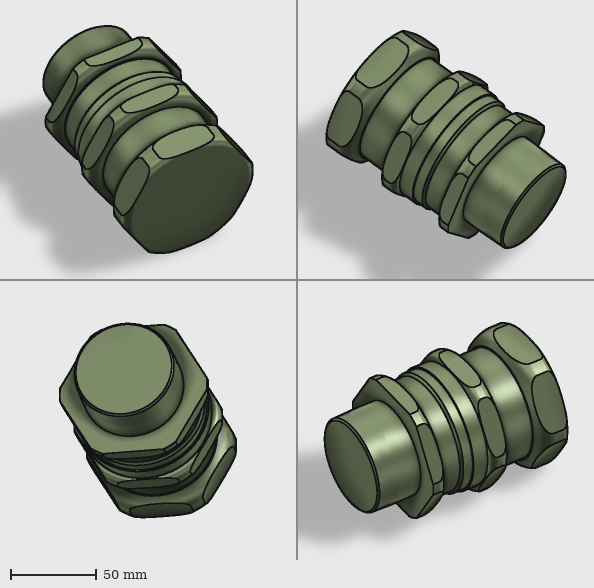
import cadquery as cq
import math

ACROSS_FLATS = 80.0
CORNER_DIAMETER = 88.1
CORNER_RADIUS = CORNER_DIAMETER / 2
EDGE_ROUND = 5.8

SPIGOT_DIAMETER = 60.4
SPIGOT_TIP_DIAMETER = 59.6
TIP_CHAMFER = 1.1
TAPER_END = 14.7

ENTRY_START = 29.5
ENTRY_HEX_END = 39.5
ENTRY_END = 40.3

SLEEVE_DIAMETER = 73.3
COLLAR_DIAMETER = 76.4
COLLAR_START = 54.2
COLLAR_CHAMFER = (COLLAR_DIAMETER - SLEEVE_DIAMETER) / 2
SLEEVE_END = 60.6

SKIRT_DIAMETER = 78.5
BODY_HEX_START = 70.4
BODY_HEX_END = 83.2
BODY_FRONT_ROUND = 4.1
BARREL_DIAMETER = 70.3
BARREL_END = 104.2

BACK_END = 125.3
BACK_CONE_ANGLE = 60
BACK_CONE_ROUND = 8.4
BACK_CONE_ROUND_END = 113.8
BACK_END_ROUND = 4.8


def cylinder(start, end, diameter):
    return cq.Workplane("YZ", origin=(start, 0, 0)).circle(diameter / 2).extrude(end - start)


def revolve_about_x(profile):
    """Revolve a closed profile of (axial, radial) points about the X axis."""
    return profile.close().revolve(360, (0, 0, 0), (1, 0, 0))


def hexagon(start, end):
    """Hexagonal prism with two flats facing up and down."""
    across_corners = ACROSS_FLATS / math.cos(math.pi / 6)
    return cq.Workplane("YZ", origin=(start, 0, 0)).polygon(6, across_corners).extrude(end - start)


def end_round(profile, end, radius):
    """Continue a profile along the corner cylinder and round it down to its end face."""
    middle = radius * math.sqrt(0.5)
    return (
        profile.lineTo(end - radius, CORNER_RADIUS)
        .threePointArc(
            (end - radius + middle, CORNER_RADIUS - radius + middle),
            (end, CORNER_RADIUS - radius),
        )
        .lineTo(end, 0)
    )


def make_spigot():
    tip_radius = SPIGOT_TIP_DIAMETER / 2
    profile = (
        cq.Workplane("XY")
        .lineTo(0, tip_radius - TIP_CHAMFER)
        .lineTo(TIP_CHAMFER, tip_radius)
        .lineTo(TAPER_END, SPIGOT_DIAMETER / 2)
        .lineTo(ENTRY_START, SPIGOT_DIAMETER / 2)
        .lineTo(ENTRY_START, 0)
    )
    return revolve_about_x(profile)


def make_entry_nut():
    profile = cq.Workplane("XY").moveTo(ENTRY_START, 0).lineTo(ENTRY_START, CORNER_RADIUS)
    envelope = revolve_about_x(end_round(profile, ENTRY_HEX_END, EDGE_ROUND))
    boss = cylinder(ENTRY_HEX_END, ENTRY_END, SLEEVE_DIAMETER)
    return hexagon(ENTRY_START, ENTRY_HEX_END).intersect(envelope).union(boss)


def make_sleeve():
    profile = (
        cq.Workplane("XY")
        .moveTo(ENTRY_END, 0)
        .lineTo(ENTRY_END, SLEEVE_DIAMETER / 2)
        .lineTo(COLLAR_START - COLLAR_CHAMFER, SLEEVE_DIAMETER / 2)
        .lineTo(COLLAR_START, COLLAR_DIAMETER / 2)
        .lineTo(SLEEVE_END, COLLAR_DIAMETER / 2)
        .lineTo(SLEEVE_END, 0)
    )
    return revolve_about_x(profile)


def make_main_body():
    radius = BODY_FRONT_ROUND
    middle = radius * math.sqrt(0.5)
    profile = (
        cq.Workplane("XY")
        .moveTo(BODY_HEX_START, 0)
        .lineTo(BODY_HEX_START, CORNER_RADIUS - radius)
        .threePointArc(
            (BODY_HEX_START + radius - middle, CORNER_RADIUS - radius + middle),
            (BODY_HEX_START + radius, CORNER_RADIUS),
        )
    )
    envelope = revolve_about_x(end_round(profile, BODY_HEX_END, EDGE_ROUND))
    skirt = cylinder(SLEEVE_END, BODY_HEX_START, SKIRT_DIAMETER)
    barrel = cylinder(BODY_HEX_END, BARREL_END, BARREL_DIAMETER)
    return hexagon(BODY_HEX_START, BODY_HEX_END).intersect(envelope).union(skirt).union(barrel)


def make_back_nut():
    angle = math.radians(BACK_CONE_ANGLE)
    round_center_radius = CORNER_RADIUS - BACK_CONE_ROUND
    cone_end_x = BACK_CONE_ROUND_END - BACK_CONE_ROUND * math.sin(angle)
    cone_end_radius = round_center_radius + BACK_CONE_ROUND * math.cos(angle)
    cone_start_radius = cone_end_radius - (cone_end_x - BARREL_END) * math.tan(angle)
    arc_middle = (
        BACK_CONE_ROUND_END - BACK_CONE_ROUND * math.sin(angle / 2),
        round_center_radius + BACK_CONE_ROUND * math.cos(angle / 2),
    )
    profile = (
        cq.Workplane("XY")
        .moveTo(BARREL_END, 0)
        .lineTo(BARREL_END, cone_start_radius)
        .lineTo(cone_end_x, cone_end_radius)
        .threePointArc(arc_middle, (BACK_CONE_ROUND_END, CORNER_RADIUS))
    )
    envelope = revolve_about_x(end_round(profile, BACK_END, BACK_END_ROUND))
    return hexagon(BARREL_END, BACK_END).intersect(envelope)


spigot = make_spigot()
entry_nut = make_entry_nut()
sleeve = make_sleeve()
main_body = make_main_body()
back_nut = make_back_nut()

result = cq.Compound.makeCompound(
    [spigot.val(), entry_nut.val(), sleeve.val(), main_body.val(), back_nut.val()]
)